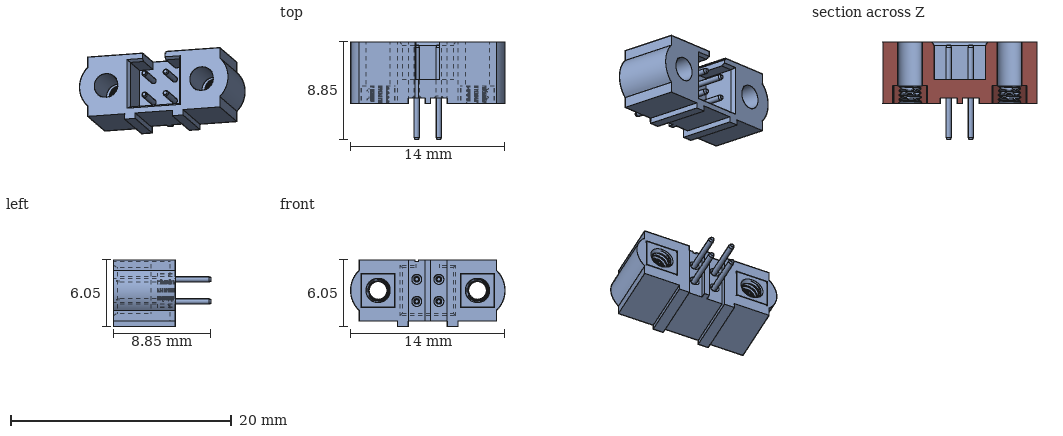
import cadquery as cq
import math


body_width = 12.45
body_depth = 5.6
body_height = 5.55
screw_spacing = 9.0
end_boss_radius = 2.5
foot_width = 1.0
foot_height = 0.5

relief_width = 3.5
relief_depth = 0.5
rib_width = 0.5

cavity_width = 4.62
cavity_height = 4.15
cavity_depth = 3.4
flare_depth = 0.35
flare_step = 0.2
key_slot_width = 2.1

groove_width = 0.3
groove_depth = 0.15

pin_pitch = 2.0
pin_diameter = 0.5
pin_tip_diameter = 0.34
pin_tip_length = 0.2
pin_setback = 0.3
pin_tail = 3.25
pin_countersink_diameter = 0.9

nut_side = 3.0
nut_thickness = 1.6
nut_clearance = 0.05
nut_countersink_diameter = 2.2
screw_hole_diameter = 2.2
thread_major_diameter = 2.0
thread_minor_diameter = 1.65
thread_pitch = 0.4
thread_crest_width = thread_pitch / 4
thread_root_width = thread_pitch / 8
thread_start_angle = 110
tap_overrun = 0.1
flank_steps = 6

half_height = body_height / 2
relief_floor = relief_depth
cavity_floor = body_depth - cavity_depth
screw_positions = [(-screw_spacing / 2, 0), (screw_spacing / 2, 0)]
pin_positions = [(x, z) for x in (-pin_pitch / 2, pin_pitch / 2) for z in (-pin_pitch / 2, pin_pitch / 2)]


def block(x_min, x_max, y_min, y_max, z_min, z_max):
    """Axis-aligned box between the given limits."""
    size = (x_max - x_min, y_max - y_min, z_max - z_min)
    return cq.Workplane("XY").box(*size, centered=False).translate((x_min, y_min, z_min))


def centred_block(width, y_min, y_max, height):
    """Box centred on X and Z."""
    return block(-width / 2, width / 2, y_min, y_max, -height / 2, height / 2)


def plane_at(y):
    """Plane facing +Y at the given Y, keeping local y along Z; local x runs along -X."""
    return cq.Workplane(cq.Plane(origin=(0, y, 0), xDir=(-1, 0, 0), normal=(0, 1, 0)))


def cylinder(position, y_min, y_max, diameter):
    """Cylinder along Y at an (x, z) position."""
    x, z = position
    return plane_at(y_min).circle(diameter / 2).extrude(y_max - y_min).translate((x, 0, z))


def countersink(position, y_face, mouth_diameter, hole_diameter):
    """45-degree cone narrowing in +Y from a face down to the hole."""
    x, z = position
    depth = (mouth_diameter - hole_diameter) / 2
    start = cq.Vector(x, y_face, z)
    cone = cq.Solid.makeCone(mouth_diameter / 2, hole_diameter / 2, depth, start, cq.Vector(0, 1, 0))
    return cq.Workplane(obj=cone)


def housing_blank():
    """Block with rounded end bosses and two feet along the bottom."""
    blank = centred_block(body_width, 0, body_depth, body_height)
    for position in screw_positions:
        blank = blank.union(cylinder(position, 0, body_depth, 2 * end_boss_radius))
    for inner_x in (-relief_width / 2 - foot_width, relief_width / 2):
        foot = block(inner_x, inner_x + foot_width, 0, body_depth, -half_height - foot_height, 0)
        blank = blank.union(foot)
    return blank


def solder_relief():
    """Recess across the solder face, either side of the middle rib."""
    recess = centred_block(relief_width, 0, relief_floor, body_height)
    return recess.cut(centred_block(rib_width, 0, relief_floor, body_height))


def mating_cavity():
    """Rectangular cavity, its flared mouth and the keying slot above it."""
    cavity = centred_block(cavity_width, cavity_floor, body_depth, cavity_height)
    flare = (
        plane_at(body_depth - flare_depth)
        .rect(cavity_width, cavity_height)
        .workplane(offset=flare_depth)
        .rect(cavity_width + 2 * flare_step, cavity_height + 2 * flare_step)
        .loft(ruled=True)
    )
    half_slot = key_slot_width / 2
    slot = block(-half_slot, half_slot, cavity_floor, body_depth, 0, half_height)
    return cavity.union(flare).union(slot)


def marking_groove():
    """Shallow groove along the top face, in line with the first pin column."""
    centre = -pin_pitch / 2
    half = groove_width / 2
    return block(centre - half, centre + half, 0, body_depth, half_height - groove_depth, half_height)


def make_housing():
    housing = housing_blank().cut(solder_relief()).cut(mating_cavity()).cut(marking_groove())
    pocket_side = nut_side + 2 * nut_clearance
    for position in screw_positions:
        pocket = centred_block(pocket_side, 0, nut_thickness, pocket_side)
        housing = housing.cut(pocket.translate((position[0], 0, position[1])))
        housing = housing.cut(cylinder(position, nut_thickness, body_depth, screw_hole_diameter))
    for position in pin_positions:
        housing = housing.cut(cylinder(position, relief_floor, cavity_floor, pin_diameter))
        housing = housing.cut(countersink(position, relief_floor, pin_countersink_diameter, pin_diameter))
    return housing


def make_pin(position):
    """Round contact pin along Y with a tapered tip at each end."""
    radius = pin_diameter / 2
    tip_radius = pin_tip_diameter / 2
    y_tail = -pin_tail
    y_contact = body_depth - pin_setback
    profile = [
        (0, y_tail),
        (tip_radius, y_tail),
        (radius, y_tail + pin_tip_length),
        (radius, y_contact - pin_tip_length),
        (tip_radius, y_contact),
        (0, y_contact),
    ]
    pin = cq.Workplane("XY").polyline(profile).close().revolve(360, (0, 0, 0), (0, 1, 0))
    return pin.translate((position[0], 0, position[1]))


def thread_tap():
    """Solid shaped like a screw along Y, right-handed and a little longer than the nut is thick.

    A threaded shank has the same cross-section everywhere, turned in step with the travel along it:
    an arc at the major radius and one at the minor radius, joined by two flanks whose radius
    changes evenly with angle.
    """
    major_radius = thread_major_diameter / 2
    minor_radius = thread_minor_diameter / 2
    root_angle = 2 * math.pi * thread_root_width / thread_pitch
    crest_angle = 2 * math.pi * thread_crest_width / thread_pitch
    flank_angle = (2 * math.pi - root_angle - crest_angle) / 2

    def flank_point(share):
        radius = major_radius + share * (minor_radius - major_radius)
        angle = root_angle / 2 + share * flank_angle
        return (radius * math.cos(angle), radius * math.sin(angle))

    falling_flank = [flank_point(step / flank_steps) for step in range(flank_steps + 1)]
    rising_flank = [(x, -y) for x, y in reversed(falling_flank)]
    section = (
        cq.Workplane("XY")
        .moveTo(*rising_flank[-1])
        .threePointArc((major_radius, 0), falling_flank[0])
        .spline(falling_flank[1:], includeCurrent=True)
        .threePointArc((-minor_radius, 0), rising_flank[0])
        .spline(rising_flank[1:], includeCurrent=True)
        .close()
    )
    length = nut_thickness + 2 * tap_overrun
    tap = section.twistExtrude(length, 360 * length / thread_pitch)
    tap = tap.rotate((0, 0, 0), (0, 0, 1), thread_start_angle)
    return tap.translate((0, 0, -tap_overrun)).rotate((0, 0, 0), (1, 0, 0), -90)


def make_nut_blank():
    """Square nut with a threaded bore, countersunk on the solder side, centred on the Y axis."""
    nut = centred_block(nut_side, 0, nut_thickness, nut_side).cut(thread_tap())
    return nut.cut(countersink((0, 0), 0, nut_countersink_diameter, thread_minor_diameter))


def make_nuts():
    """One nut at each screw position."""
    blank = make_nut_blank()
    return [blank.translate((x, 0, z)) for x, z in screw_positions]


housing = make_housing()
nuts = make_nuts()
pins = [make_pin(position) for position in pin_positions]

result = cq.Compound.makeCompound([
    housing.solids().val(),
    *[nut.solids().val() for nut in nuts],
    *[pin.solids().val() for pin in pins],
])